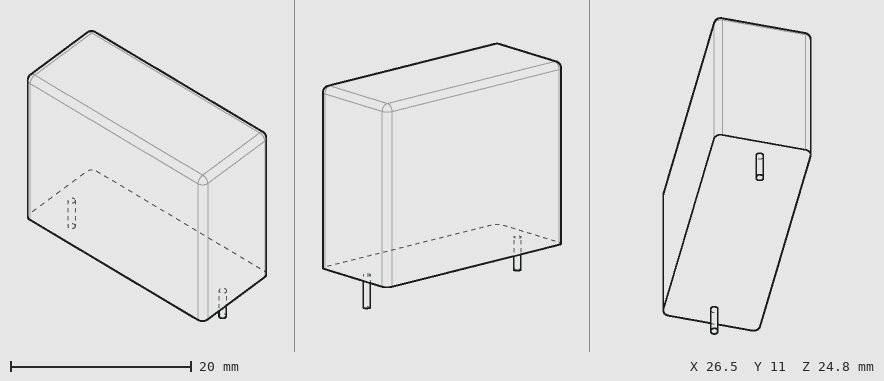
import cadquery as cq

housing_length = 26.5
housing_width = 11.0
overall_height = 24.8
lead_length = 3.8
housing_height = overall_height - lead_length
edge_radius = 0.77

lead_pitch = 22.5
lead_diameter = 0.82


def make_housing():
    """Box with every edge rounded except those around the base."""
    box = cq.Workplane("XY").box(
        housing_length, housing_width, housing_height, centered=(True, True, False)
    )
    return box.edges("|Z or >Z").fillet(edge_radius)


def make_lead(x):
    """Round lead hanging straight down from the base at the given X."""
    return cq.Workplane("XY").center(x, 0).circle(lead_diameter / 2).extrude(-lead_length)


housing = make_housing()
leads = [make_lead(side * lead_pitch / 2) for side in (-1, 1)]

result = cq.Compound.makeCompound([housing.val(), *[lead.val() for lead in leads]])